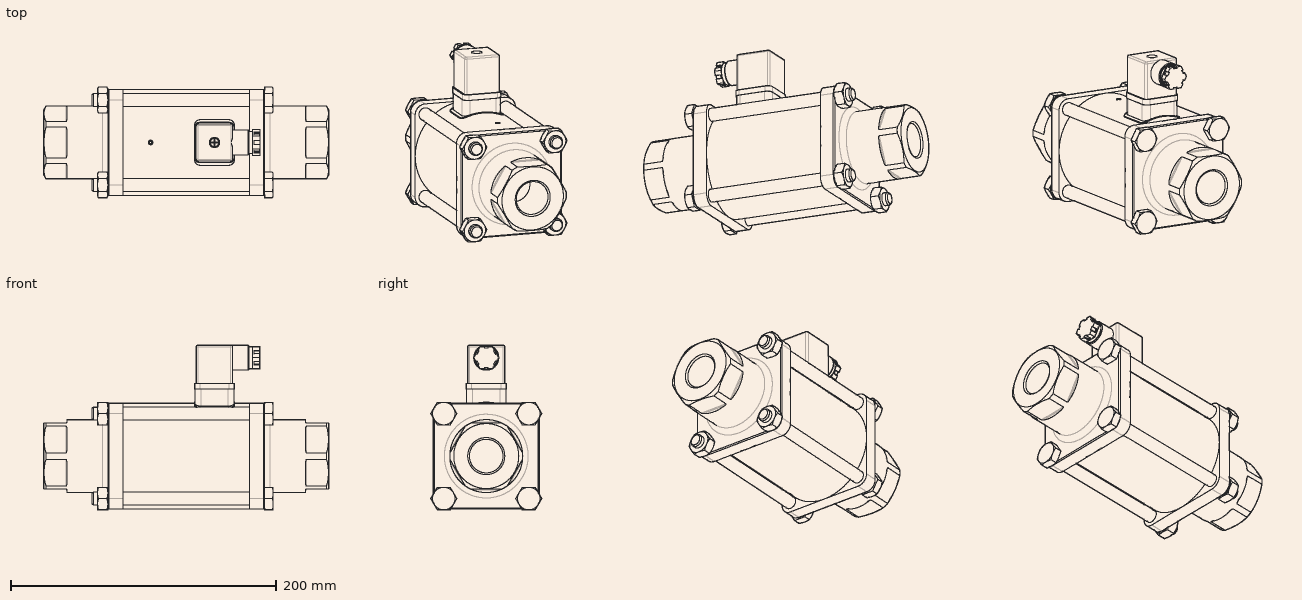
import cadquery as cq
import math


total_length = 215.0
hex_sides = 6

body_radius = 27.5
hex_flat_distance = 25.0
hex_length = 17.5
hex_root_fillet = 0.6
end_face_radius = 24.5
end_chamfer_angle = 30.0
collar_fillet = 4.0
bore_radius = 12.7
bore_mouth_radius = 14.0
bore_depth = 43.0

coil_radius = 40.0
plate_size = 2 * coil_radius
plate_thickness = 11.6
plate_outer_x = 59.1
plate_inner_x = plate_outer_x - plate_thickness
plate_edge_chamfer = 0.9
vent_x = -26.9
vent_radius = 1.7
vent_pin_radius = 0.97
vent_depth = 2.2

bolt_offset = 32.0
bolt_radius = 5.0
bolt_end_chamfer = 0.9
bolt_end_chamfer_length = 1.3
bolt_protrusion = 4.3
hex_across_flats = 17.0
nut_thickness = 7.7
bolt_head_thickness = 6.5
hex_chamfer_angle = 30.0
plate_corner_radius = plate_size / 2 - bolt_offset

plug_x = 21.3
plug_length = 27.5
plug_width = 28.0
plug_top_z = 83.6
plug_edge_fillet = 1.5
plug_top_fillet = 1.3
collar_length = 30.0
collar_width = 30.5
collar_bottom_z = 50.5
collar_top_z = 54.8
collar_corner_radius = 4.0
socket_length = 29.7
socket_width = 30.0
socket_corner_radius = 4.7
foot_width = 34.5
foot_corner_radius = 4.3
foot_rim_radius = 40.6
screw_recess_radius = 3.9
screw_recess_depth = 3.5
screw_head_radius = 3.2
screw_head_height = 1.3
screw_slot_width = 1.0
screw_slot_depth = 1.0

gland_radius = 9.5
gland_z = plug_top_z - gland_radius
gland_end_x = 47.3
gland_edge_chamfer = 0.6
gland_neck_radius = 8.4
gland_nut_start_x = 50.0
gland_nut_end_x = 55.5
gland_nut_across_flats = 16.8
gland_notch_start_x = 51.2
gland_notch_width = 2.8
gland_notch_depth = 1.0


def rod_along_x(radius, start_x, end_x, y=0, z=0):
    """Cylinder parallel to X."""
    return cq.Workplane("YZ", origin=(start_x, y, z)).circle(radius).extrude(end_x - start_x)


def hex_corner_diameter(across_flats):
    """Distance across the corners of a regular hexagon."""
    return across_flats / math.cos(math.pi / hex_sides)


def block(x_size, y_size, bottom_z, top_z, corner_radius):
    """Upright block on the plug axis with rounded vertical edges."""
    base = cq.Workplane("XY", origin=(plug_x, 0, bottom_z)).rect(x_size, y_size)
    return base.extrude(top_z - bottom_z).edges("|Z").fillet(corner_radius)


def make_end_body():
    """Turned end body on the -X side with six wrench flats and a blind bore."""
    start_x = -total_length / 2
    hex_end_x = start_x + hex_length
    end_chamfer_height = body_radius - end_face_radius
    end_chamfer_length = end_chamfer_height * math.tan(math.radians(end_chamfer_angle))
    bore_chamfer = bore_mouth_radius - bore_radius
    fillet_middle = collar_fillet * (1 - math.sqrt(0.5))

    body = (
        cq.Workplane("XY")
        .moveTo(start_x, bore_mouth_radius)
        .lineTo(start_x, end_face_radius)
        .lineTo(start_x + end_chamfer_length, body_radius)
        .lineTo(-plate_outer_x - collar_fillet, body_radius)
        .threePointArc(
            (-plate_outer_x - fillet_middle, body_radius + fillet_middle),
            (-plate_outer_x, body_radius + collar_fillet),
        )
        .lineTo(-plate_outer_x, 0)
        .lineTo(start_x + bore_depth, 0)
        .lineTo(start_x + bore_depth, bore_radius)
        .lineTo(start_x + bore_chamfer, bore_radius)
        .close()
        .revolve(360, (0, 0, 0), (1, 0, 0))
    )

    cutter_height = body_radius - hex_flat_distance
    flat_cutter = (
        cq.Workplane("XY")
        .box(hex_length, 2 * body_radius, 2 * cutter_height, centered=(False, True, False))
        .edges(">X and <Z")
        .fillet(hex_root_fillet)
        .translate((hex_end_x - hex_length, 0, hex_flat_distance))
    )
    for flat in range(hex_sides):
        body = body.cut(flat_cutter.rotate((0, 0, 0), (1, 0, 0), flat * 360 / hex_sides))
    return body


def make_plate():
    """Square clamping plate on the -X side, chamfered around its outer face."""
    plate = cq.Workplane("YZ", origin=(-plate_outer_x, 0, 0)).rect(plate_size, plate_size)
    plate = plate.extrude(plate_thickness).edges("|X").fillet(plate_corner_radius)
    return plate.faces("<X").chamfer(plate_edge_chamfer)


def make_hex(thickness, inner_chamfer, y, z):
    """Hexagon outside the -X plate with turned-down outer, and optionally inner, corners."""
    corner_diameter = hex_corner_diameter(hex_across_flats)
    corner_radius = corner_diameter / 2
    flat_radius = hex_across_flats / 2
    turned_length = (corner_radius - flat_radius) * math.tan(math.radians(hex_chamfer_angle))
    inner_end = [(0, corner_radius)]
    if inner_chamfer:
        inner_end = [(0, flat_radius), (-turned_length, corner_radius)]

    hexagon = cq.Workplane("YZ").polygon(hex_sides, corner_diameter).extrude(-thickness)
    envelope = (
        cq.Workplane("XY")
        .polyline([
            (0, 0),
            *inner_end,
            (-thickness + turned_length, corner_radius),
            (-thickness, flat_radius),
            (-thickness, 0),
        ])
        .close()
        .revolve(360, (0, 0, 0), (1, 0, 0))
    )
    return hexagon.intersect(envelope).translate((-plate_outer_x, y, z))


def make_tie_bolt(y, z):
    """Bolt with its nut and free end on the -X side and its head on the +X side."""
    free_end_x = -plate_outer_x - nut_thickness - bolt_protrusion
    shank = rod_along_x(bolt_radius, free_end_x, plate_outer_x, y, z)
    shank = shank.faces("<X").chamfer(bolt_end_chamfer_length, bolt_end_chamfer)
    head = make_hex(bolt_head_thickness, False, y, z).mirror("YZ")
    nut = make_hex(nut_thickness, True, y, z)
    return shank.union(nut).union(head)


def make_coil():
    """Cylindrical coil housing with a vent hole around a pin on top."""
    coil = rod_along_x(coil_radius, -plate_inner_x, plate_inner_x)
    vent = (
        cq.Workplane("XY", origin=(vent_x, 0, coil_radius))
        .circle(vent_radius)
        .circle(vent_pin_radius)
        .extrude(-vent_depth)
    )
    return coil.cut(vent)


def make_plug():
    """Rectangular plug on a socket whose foot hugs the coil housing."""
    foot = block(collar_length, foot_width, 0, collar_bottom_z, foot_corner_radius)
    foot = foot.intersect(rod_along_x(foot_rim_radius, -plate_inner_x, plate_inner_x))
    socket = block(socket_length, socket_width, 0, collar_bottom_z, socket_corner_radius)
    collar = block(collar_length, collar_width, collar_bottom_z, collar_top_z, collar_corner_radius)
    cap = block(plug_length, plug_width, collar_top_z, plug_top_z, plug_edge_fillet)
    cap = cap.faces(">Z").edges().fillet(plug_top_fillet)

    top = cq.Workplane("XY", origin=(plug_x, 0, plug_top_z))
    recess_floor = top.workplane(offset=-screw_recess_depth)
    slot_length = 2 * screw_head_radius
    slots = recess_floor.workplane(offset=screw_head_height)
    slot_x = slots.rect(slot_length, screw_slot_width).extrude(-screw_slot_depth)
    slot_y = slots.rect(screw_slot_width, slot_length).extrude(-screw_slot_depth)
    screw_head = recess_floor.circle(screw_head_radius).extrude(screw_head_height)
    screw_head = screw_head.cut(slot_x).cut(slot_y)
    cap = cap.cut(top.circle(screw_recess_radius).extrude(-screw_recess_depth)).union(screw_head)
    return foot.union(socket).union(collar).union(cap)


def make_gland():
    """Cable gland leaving the plug towards +X, ending in a hexagon nut notched on each flat."""
    gland = rod_along_x(gland_radius, plug_x + plug_length / 4, gland_end_x, 0, gland_z)
    gland = gland.faces(">X").chamfer(gland_edge_chamfer)
    neck = rod_along_x(gland_neck_radius, gland_end_x, gland_nut_start_x, 0, gland_z)

    nut = cq.Workplane("YZ", origin=(gland_nut_start_x, 0, gland_z))
    nut = nut.polygon(hex_sides, hex_corner_diameter(gland_nut_across_flats))
    nut = nut.extrude(gland_nut_end_x - gland_nut_start_x)
    notch = cq.Workplane("XY").box(
        gland_nut_end_x - gland_notch_start_x,
        gland_notch_width,
        2 * gland_notch_depth,
        centered=(False, True, True),
    )
    notch = notch.translate((gland_notch_start_x, 0, gland_z + gland_nut_across_flats / 2))
    for flat in range(hex_sides):
        nut = nut.cut(notch.rotate((0, 0, gland_z), (1, 0, gland_z), flat * 360 / hex_sides))
    return gland.union(neck).union(nut)


result = make_coil()
for side_part in (make_plate(), make_end_body()):
    result = result.union(side_part).union(side_part.mirror("YZ"))
for bolt_y in (-bolt_offset, bolt_offset):
    for bolt_z in (-bolt_offset, bolt_offset):
        result = result.union(make_tie_bolt(bolt_y, bolt_z))
result = result.union(make_plug()).union(make_gland())